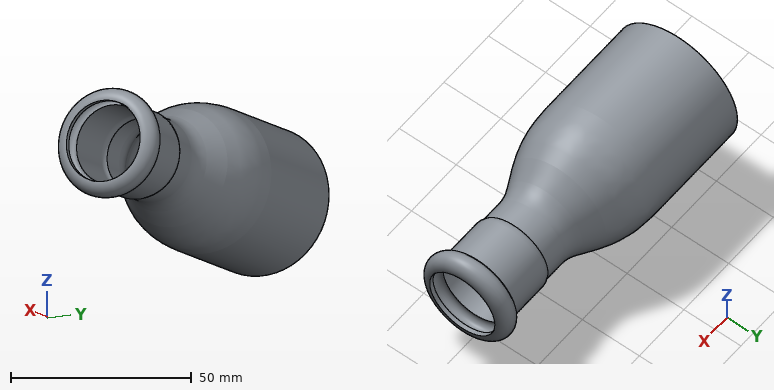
import cadquery as cq
import math

length = 96.5
wall = 3.0 / 2
large_radius = 42.0 / 2
neck_radius = 24.0 / 2
socket_radius = 25.3 / 2
large_tube_length = 35.0
shoulder_arc = 41.0
throat_arc = 14.0
taper_angle = math.radians(26.5)
step_start = 73.4
step_end = 75.5
bead_outer_radius = 30.7 / 2
bead_tube = 7.2 / 2
lip_radius = 22.9 / 2

arc_drop = (shoulder_arc + throat_arc) * (1 - math.cos(taper_angle))
taper_length = (large_radius - neck_radius - arc_drop) / math.tan(taper_angle)
neck_start = (
    large_tube_length
    + (shoulder_arc + throat_arc) * math.sin(taper_angle)
    + taper_length
)

step_rise = socket_radius - neck_radius
step_arc = ((step_end - step_start) ** 2 + step_rise**2) / (2 * step_rise)

bead_x = length - bead_tube
bead_center_radius = bead_outer_radius - bead_tube


def arc_point(x, r, radius, angle):
    """Point on a circle centred at (x, r), at an angle from the radial direction."""
    return (x + radius * math.sin(angle), r + radius * math.cos(angle))


def skin(inset):
    """Solid of revolution bounded by the outer skin moved inward by inset."""
    shoulder_center = (large_tube_length, large_radius - shoulder_arc)
    throat_center = (neck_start, neck_radius + throat_arc)
    shoulder = shoulder_arc - inset
    throat = throat_arc + inset
    socket = socket_radius - inset
    tube = bead_tube - inset
    bead_start = bead_x - math.sqrt(tube**2 - (socket - bead_center_radius) ** 2)
    bead_end = bead_x + math.sqrt(tube**2 - (lip_radius - bead_center_radius) ** 2)
    step_middle = (step_start + step_end) / 2
    step_middle_radius = socket - step_arc + math.sqrt(step_arc**2 - (step_end - step_middle) ** 2)
    return (
        cq.Workplane("XY")
        .moveTo(0, 0)
        .lineTo(0, large_radius - inset)
        .lineTo(large_tube_length, large_radius - inset)
        .threePointArc(
            arc_point(*shoulder_center, shoulder, taper_angle / 2),
            arc_point(*shoulder_center, shoulder, taper_angle),
        )
        .lineTo(*arc_point(*throat_center, -throat, taper_angle))
        .threePointArc(
            arc_point(*throat_center, -throat, taper_angle / 2),
            (neck_start, neck_radius - inset),
        )
        .lineTo(step_start, neck_radius - inset)
        .threePointArc((step_middle, step_middle_radius), (step_end, socket))
        .lineTo(bead_start, socket)
        .threePointArc((bead_x, bead_center_radius + tube), (bead_end, lip_radius))
        .lineTo(bead_end, 0)
        .close()
        .revolve(360, (0, 0, 0), (1, 0, 0))
    )


mouth = cq.Workplane("YZ", origin=(bead_x, 0, 0)).circle(lip_radius).extrude(bead_tube)

result = skin(0).cut(skin(wall)).cut(mouth)